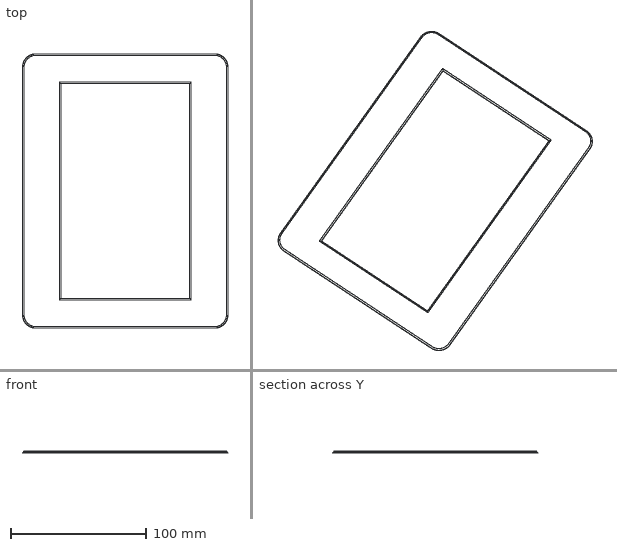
import cadquery as cq
import math

length = 203.2
width = 152.2
thickness = 1.2
corner_radius = 10.0

window_width = 95.0
window_length = 159.0

slope_angle = 45.0

plate = (
    cq.Workplane("XY")
    .sketch()
    .rect(width, length)
    .vertices()
    .fillet(corner_radius)
    .finalize()
    .extrude(thickness, taper=slope_angle)
)

bevel_run = thickness * math.tan(math.radians(slope_angle))
window = (
    cq.Workplane("XY")
    .rect(window_width, window_length)
    .workplane(offset=thickness)
    .rect(window_width + 2 * bevel_run, window_length + 2 * bevel_run)
    .loft(combine=True)
)

result = plate.cut(window)